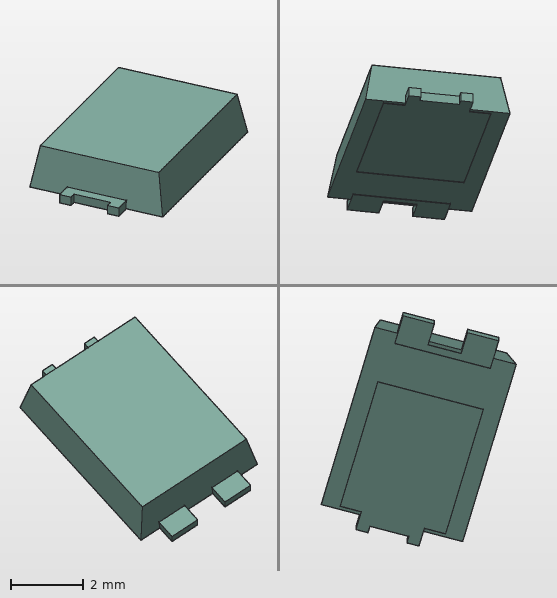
import cadquery as cq

housing_width = 4.084
housing_length = 5.5
housing_height = 1.25
draft_angle = 10.0
standoff = 0.02

metal_thickness = 0.265
front_reach = 0.45
rear_reach = 0.55
edge_cover = 0.1

tab_width = 1.82
notch_width = 1.12
notch_depth = 0.2
pad_width = 3.04
front_terminal_length = 4.41

prong_width = 0.9
prong_gap = 0.955
rear_terminal_length = 0.86

overall_length = front_reach + housing_length + rear_reach
front_tip = -overall_length / 2
rear_tip = overall_length / 2
housing_front = front_tip + front_reach
housing_rear = rear_tip - rear_reach


def plate(width, y_start, y_end):
    """Flat piece of terminal metal, centred on X = 0 and resting on Z = 0."""
    return (
        cq.Workplane("XY", origin=(0, y_start, 0))
        .box(width, y_end - y_start, metal_thickness, centered=(True, False, False))
    )


def make_front_terminal():
    pad_front = housing_front + edge_cover
    pad = plate(pad_width, pad_front, front_tip + front_terminal_length)
    tab = plate(tab_width, front_tip, pad_front)
    notch = plate(notch_width, front_tip, front_tip + notch_depth)
    return pad.union(tab).cut(notch)


def make_rear_terminal():
    full_width = 2 * prong_width + prong_gap
    blank = plate(full_width, rear_tip - rear_terminal_length, rear_tip)
    gap = plate(prong_gap, housing_rear - edge_cover, rear_tip)
    return blank.cut(gap)


def make_housing(terminals):
    """Tapered block with a fitting recess for each terminal."""
    housing_center = (housing_front + housing_rear) / 2
    block = (
        cq.Workplane("XY", origin=(0, housing_center, standoff))
        .rect(housing_width, housing_length)
        .extrude(housing_height, taper=draft_angle)
    )
    for terminal in terminals:
        block = block.cut(terminal)
    return block


front_terminal = make_front_terminal()
rear_terminal = make_rear_terminal()
housing = make_housing([front_terminal, rear_terminal])

bodies = [housing, front_terminal, rear_terminal]
result = cq.Compound.makeCompound([body.solids().val() for body in bodies])